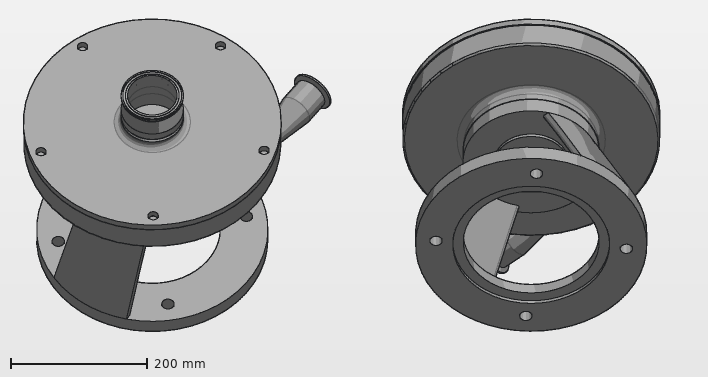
import cadquery as cq
import math

flange_top = 25.0
boss_bottom = 178.0
ring_bottom = 183.5
ring_top = 210.0
casing_bottom = 231.0
casing_top = 275.0
cover_top = 286.0
neck_top = 351.5

flange_radius = 170.0
flange_bore_radius = 100.0
flange_recess_radius = 115.0
flange_recess_depth = 6.0
flange_bolt_circle_radius = 140.0
flange_bolt_count = 4
flange_bolt_first_angle = 45
flange_bolt_diameter = 18.0

leg_thickness = 12.2
leg_half_width_top = 55.5
leg_half_width_bottom = 65.5
leg_edge_fillet = 3.5

ring_radius = 100.2
hub_radius = 99.5
hub_fillet = 9.5
boss_radius = 55.0
casing_radius = 189.0
casing_bottom_fillet = 2.8
casing_rim_chamfer = 1.5
chamber_radius = 163.7
chamber_floor_thickness = 12.0

cover_diameter = 379.0
cover_radius = cover_diameter / 2
cover_bolt_circle_radius = 172.5
cover_bolt_count = 5
cover_bolt_first_angle = 90
cover_bolt_diameter = 15.0

outlet_x = 144.5
outlet_z = 252.5
overall_length = 394.5
outlet_end_y = overall_length - cover_radius
outlet_cone_y = 160.5
outlet_inner_y = 83.0
outlet_radius = 25.2
outlet_inner_radius = 11.5
outlet_wall = 2.0
outlet_rim_radius = 32.0
outlet_rim_thickness = 3.0
outlet_rim_taper = 3.0

collar_radius = 46.0
collar_fillet = 10.0
collar_top = 298.5
groove_radius = 43.0
groove_z = 301.5
neck_wide_radius = 45.8
neck_wide_bottom = 303.8
neck_wide_top = 317.5
neck_narrow_radius = 38.3
neck_narrow_bottom = 337.0
neck_rim_thickness = 3.0
neck_rim_taper = 3.5
inlet_bore_radius = 36.3
inlet_wide_bore_radius = 40.5
inlet_bore_taper_top = 324.3
gasket_groove_inner_radius = 39.5
gasket_groove_outer_radius = 43.5
gasket_groove_depth = 1.0


def cylinder(radius, bottom, top):
    """Upright cylinder on the Z axis between two heights."""
    return cq.Workplane("XY").workplane(offset=bottom).circle(radius).extrude(top - bottom)


def revolve_about_z(points):
    """Solid of revolution about Z from (radius, height) points."""
    return cq.Workplane("XZ").polyline(points).close().revolve(360, (0, 0, 0), (0, 1, 0))


def bolt_holes(circle_radius, first_angle, count, diameter, bottom, top):
    """Evenly spaced hole cutters on a bolt circle."""
    return (
        cq.Workplane("XY")
        .workplane(offset=bottom)
        .polarArray(circle_radius, first_angle, 360, count)
        .circle(diameter / 2)
        .extrude(top - bottom)
    )


def make_mounting_flange():
    flange = cylinder(flange_radius, 0, flange_top)
    flange = flange.cut(cylinder(flange_bore_radius, 0, flange_top))
    flange = flange.cut(cylinder(flange_recess_radius, 0, flange_recess_depth))
    return flange.cut(
        bolt_holes(
            flange_bolt_circle_radius,
            flange_bolt_first_angle,
            flange_bolt_count,
            flange_bolt_diameter,
            0,
            flange_top,
        )
    )


def make_legs():
    shell = revolve_about_z([
        (flange_radius - leg_thickness, flange_top),
        (flange_radius, flange_top),
        (ring_radius, ring_bottom),
        (ring_radius - leg_thickness, ring_bottom),
    ])
    slab = (
        cq.Workplane("XZ")
        .polyline([
            (-leg_half_width_bottom, flange_top),
            (leg_half_width_bottom, flange_top),
            (leg_half_width_top, ring_bottom),
            (-leg_half_width_top, ring_bottom),
        ])
        .close()
        .extrude(flange_radius, both=True)
    )
    legs = shell.intersect(slab)
    middle_height = (flange_top + ring_bottom) / 2
    inner_radius = (flange_radius + ring_radius) / 2 - leg_thickness
    half_width = (leg_half_width_bottom + leg_half_width_top) / 2
    inner_y = math.sqrt(inner_radius**2 - half_width**2)
    for side_x in (-half_width, half_width):
        for side_y in (-inner_y, inner_y):
            inner_edge = cq.selectors.NearestToPointSelector((side_x, side_y, middle_height))
            legs = legs.edges(inner_edge).fillet(leg_edge_fillet)
    return legs


def make_casing_blank():
    """Casing drum, filleted hub, leg ring and boss, turned about Z."""
    fillet_middle = hub_fillet * (1 - math.sqrt(0.5))
    profile = (
        cq.Workplane("XZ")
        .moveTo(0, boss_bottom)
        .lineTo(boss_radius, boss_bottom)
        .lineTo(boss_radius, ring_bottom)
        .lineTo(ring_radius, ring_bottom)
        .lineTo(ring_radius, ring_top)
        .lineTo(hub_radius, ring_top)
        .lineTo(hub_radius, casing_bottom - hub_fillet)
        .threePointArc(
            (hub_radius + fillet_middle, casing_bottom - fillet_middle),
            (hub_radius + hub_fillet, casing_bottom),
        )
        .lineTo(casing_radius, casing_bottom)
        .lineTo(casing_radius, casing_top)
        .lineTo(0, casing_top)
        .close()
    )
    blank = profile.revolve(360, (0, 0, 0), (0, 1, 0))
    largest_circle = cq.selectors.RadiusNthSelector(-1)
    blank = blank.faces(">Z").edges(largest_circle).chamfer(casing_rim_chamfer)
    lower_edge = cq.selectors.BoxSelector(
        (-casing_radius, -casing_radius, casing_bottom - casing_rim_chamfer),
        (casing_radius, casing_radius, casing_bottom + casing_rim_chamfer),
    )
    return blank.edges(lower_edge).edges(largest_circle).fillet(casing_bottom_fillet)


def revolve_outlet(points):
    """Solid of revolution about the outlet axis from (radius, y) points."""
    return (
        cq.Workplane("XY", origin=(outlet_x, 0, outlet_z))
        .polyline(points)
        .close()
        .revolve(360, (0, 0, 0), (0, 1, 0))
    )


def make_outlet():
    rim_back = outlet_end_y - outlet_rim_thickness
    return revolve_outlet([
        (0, outlet_inner_y),
        (outlet_inner_radius, outlet_inner_y),
        (outlet_radius, outlet_cone_y),
        (outlet_radius, rim_back - outlet_rim_taper),
        (outlet_rim_radius, rim_back),
        (outlet_rim_radius, outlet_end_y),
        (0, outlet_end_y),
    ])


def make_outlet_bore():
    return revolve_outlet([
        (0, outlet_inner_y),
        (outlet_inner_radius - outlet_wall, outlet_inner_y),
        (outlet_radius - outlet_wall, outlet_cone_y),
        (outlet_radius - outlet_wall, outlet_end_y),
        (0, outlet_end_y),
    ])


def make_housing():
    """Casing with its outlet, legs and mounting flange in one piece."""
    outlet = make_outlet().cut(cylinder(cover_radius, casing_top, cover_top))
    housing = make_casing_blank().union(outlet)
    housing = housing.cut(cylinder(chamber_radius, casing_bottom + chamber_floor_thickness, casing_top))
    housing = housing.cut(make_outlet_bore())
    return housing.union(make_legs()).union(make_mounting_flange())


def make_cover():
    """Cover plate with the inlet neck and its bolt holes."""
    fillet_middle = collar_fillet * (1 - math.sqrt(0.5))
    rim_bottom = neck_top - neck_rim_thickness
    profile = (
        cq.Workplane("XZ")
        .moveTo(0, casing_top)
        .lineTo(cover_radius, casing_top)
        .lineTo(cover_radius, cover_top)
        .lineTo(collar_radius + collar_fillet, cover_top)
        .threePointArc(
            (collar_radius + fillet_middle, cover_top + fillet_middle),
            (collar_radius, cover_top + collar_fillet),
        )
        .lineTo(collar_radius, collar_top)
        .lineTo(groove_radius, groove_z)
        .lineTo(neck_wide_radius, neck_wide_bottom)
        .lineTo(neck_wide_radius, neck_wide_top)
        .lineTo(neck_narrow_radius, neck_narrow_bottom)
        .lineTo(neck_narrow_radius, rim_bottom - neck_rim_taper)
        .lineTo(neck_wide_radius, rim_bottom)
        .lineTo(neck_wide_radius, neck_top)
        .lineTo(0, neck_top)
        .close()
    )
    cover = profile.revolve(360, (0, 0, 0), (0, 1, 0))
    bore = revolve_about_z([
        (0, casing_top),
        (inlet_wide_bore_radius, casing_top),
        (inlet_wide_bore_radius, groove_z),
        (inlet_bore_radius, inlet_bore_taper_top),
        (inlet_bore_radius, neck_top),
        (0, neck_top),
    ])
    groove_bottom = neck_top - gasket_groove_depth
    gasket_groove = cylinder(gasket_groove_outer_radius, groove_bottom, neck_top).cut(
        cylinder(gasket_groove_inner_radius, groove_bottom, neck_top)
    )
    holes = bolt_holes(
        cover_bolt_circle_radius,
        cover_bolt_first_angle,
        cover_bolt_count,
        cover_bolt_diameter,
        casing_top,
        cover_top,
    )
    return cover.cut(bore).cut(gasket_groove).cut(holes)


housing = make_housing()
cover = make_cover()

result = cq.Compound.makeCompound([housing.val(), cover.val()])